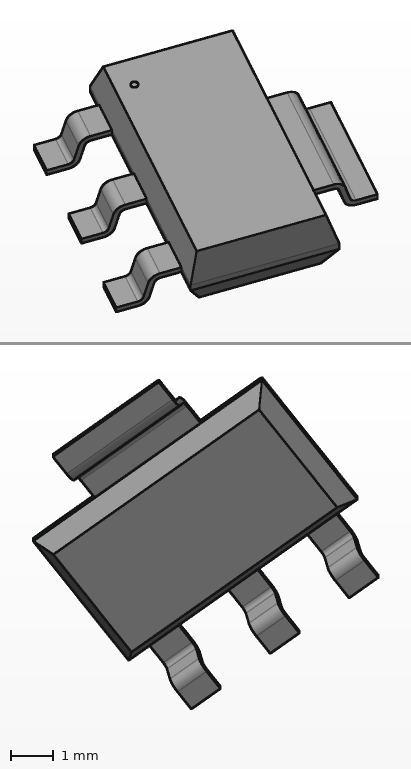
import cadquery as cq
import math

BODY_LENGTH = 6.71
BODY_WIDTH = 3.73
BODY_STANDOFF = 0.03
BODY_TOP = 1.79
BAND_BOTTOM = 0.755
BAND_HEIGHT = 0.19
BAND_TOP = BAND_BOTTOM + BAND_HEIGHT
UPPER_DRAFT = 16.0
LOWER_DRAFT = 25.0

TERMINAL_SPAN = 7.0
STRIP_THICKNESS = 0.16
STRIP_TOP = 0.93
INNER_RADIUS = 0.15
OUTER_RADIUS = INNER_RADIUS + STRIP_THICKNESS
BEND_ANGLE = 75.0
FOOT_LENGTH = 0.54
LEAD_WIDTH = 0.855
LEAD_PITCH = 2.315
LEAD_COUNT = 3
TAB_WIDTH = 3.11

MARKER_DIAMETER = 0.18
MARKER_HEIGHT = 0.02
MARKER_X = -LEAD_PITCH
MARKER_Y = -1.14


def make_housing():
    band = (
        cq.Workplane("XY", origin=(0, 0, BAND_BOTTOM))
        .rect(BODY_LENGTH, BODY_WIDTH)
        .extrude(BAND_HEIGHT)
    )
    upper = (
        cq.Workplane("XY", origin=(0, 0, BAND_TOP))
        .rect(BODY_LENGTH, BODY_WIDTH)
        .extrude(BODY_TOP - BAND_TOP, taper=UPPER_DRAFT)
    )
    lower = (
        cq.Workplane("XY", origin=(0, 0, BAND_BOTTOM))
        .rect(BODY_LENGTH, BODY_WIDTH)
        .extrude(BODY_STANDOFF - BAND_BOTTOM, taper=LOWER_DRAFT)
    )
    return band.union(upper).union(lower)


def arc_point(center, radius, angle_deg):
    angle = math.radians(angle_deg)
    return (center[0] + radius * math.cos(angle), center[1] + radius * math.sin(angle))


def make_terminal(width):
    """Terminal leaving the housing toward +Y, centred on X = 0, with its foot on Z = 0."""
    root = BODY_WIDTH / 2
    tip = TERMINAL_SPAN / 2
    strip_bottom = STRIP_TOP - STRIP_THICKNESS

    bend = math.radians(BEND_ANGLE)
    bend_drop = (INNER_RADIUS + OUTER_RADIUS) * (1 - math.cos(bend))
    leg_length = (strip_bottom - bend_drop) / math.sin(bend)
    bend_run = (INNER_RADIUS + OUTER_RADIUS) * math.sin(bend) + leg_length * math.cos(bend)

    foot_start = tip - FOOT_LENGTH
    shoulder_end = foot_start - bend_run
    shoulder_center = (shoulder_end, STRIP_TOP - OUTER_RADIUS)
    foot_center = (foot_start, OUTER_RADIUS)

    shoulder_leg = 90 - BEND_ANGLE
    shoulder_mid = 90 - BEND_ANGLE / 2
    foot_leg = 270 - BEND_ANGLE
    foot_mid = 270 - BEND_ANGLE / 2

    profile = (
        cq.Workplane("YZ", origin=(-width / 2, 0, 0))
        .moveTo(root, STRIP_TOP)
        .lineTo(shoulder_end, STRIP_TOP)
        .threePointArc(
            arc_point(shoulder_center, OUTER_RADIUS, shoulder_mid),
            arc_point(shoulder_center, OUTER_RADIUS, shoulder_leg),
        )
        .lineTo(*arc_point(foot_center, INNER_RADIUS, foot_leg))
        .threePointArc(
            arc_point(foot_center, INNER_RADIUS, foot_mid),
            (foot_start, STRIP_THICKNESS),
        )
        .lineTo(tip, STRIP_THICKNESS)
        .lineTo(tip, 0)
        .lineTo(foot_start, 0)
        .threePointArc(
            arc_point(foot_center, OUTER_RADIUS, foot_mid),
            arc_point(foot_center, OUTER_RADIUS, foot_leg),
        )
        .lineTo(*arc_point(shoulder_center, INNER_RADIUS, shoulder_leg))
        .threePointArc(
            arc_point(shoulder_center, INNER_RADIUS, shoulder_mid),
            (shoulder_end, strip_bottom),
        )
        .lineTo(root, strip_bottom)
        .close()
    )
    return profile.extrude(width)


def make_lead(x):
    """Narrow lead on the -Y side, centred at the given X."""
    return make_terminal(LEAD_WIDTH).rotate((0, 0, 0), (0, 0, 1), 180).translate((x, 0, 0))


def make_marker():
    return (
        cq.Workplane("XY", origin=(MARKER_X, MARKER_Y, BODY_TOP))
        .circle(MARKER_DIAMETER / 2)
        .extrude(MARKER_HEIGHT)
    )


housing = make_housing()
tab = make_terminal(TAB_WIDTH)
leads = [make_lead((i - (LEAD_COUNT - 1) / 2) * LEAD_PITCH) for i in range(LEAD_COUNT)]
marker = make_marker()

result = cq.Compound.makeCompound(
    [housing.val(), tab.val(), *[lead.val() for lead in leads], marker.val()]
)